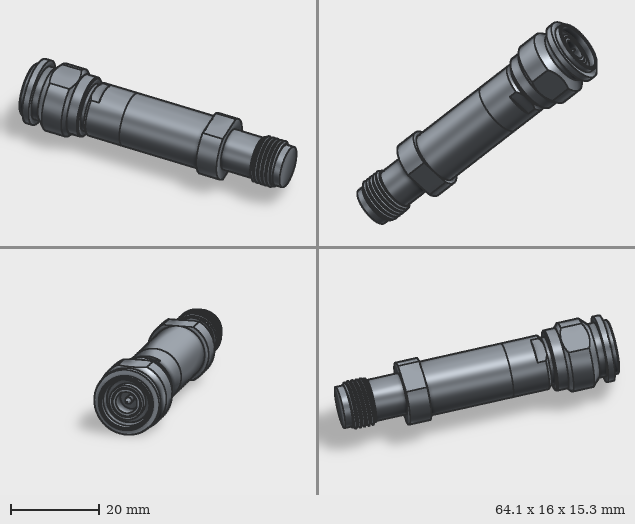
import cadquery as cq
import math


OVERALL_LENGTH = 64.1
OVERALL_WIDTH = 16.0
OVERALL_HEIGHT = 15.3
BARREL_RADIUS = 6.3

FLANGE_RADIUS = OVERALL_HEIGHT / 2
FLANGE_START, FLANGE_END = 1.5, 3.0
RIM_CHAMFER = 0.25
GRIP_RADIUS = OVERALL_WIDTH / 2
GRIP_FLAT_HEIGHT = 7.25
GRIP_START, GRIP_END = 6.4, 11.3
COLLAR_START = 12.2
COLLAR_RADIUS = 7.05
NUT_END = 14.95
MOUTH_RADIUS = 5.65
MOUTH_DEPTH = 1.9
MOUTH_CONE_END = 2.9
NUT_BORE_RADIUS = 5.1

PLUG_RADIUS = 4.05
PLUG_FACE = 1.3
PLUG_SHOULDER = 3.2
NECK_RADIUS = 5.6
NECK_END = 15.85
PLUG_BODY_END = 24.95
PLUG_FLAT_HEIGHT = 5.45
PLUG_FLAT_END = 18.45
HOLLOW_RADIUS = 2.5
HOLLOW_FLOOR = 5.1
FACE_GROOVE_INNER, FACE_GROOVE_OUTER = 3.2, 3.45
FACE_GROOVE_DEPTH = 0.65
PIN_RADIUS = 0.8
PIN_TIP = 1.35
PIN_TIP_RADIUS = 0.2
PIN_TAPER = 1.65

WRENCH_RADIUS = 7.25
WRENCH_START, WRENCH_END = 44.5, 49.5
TAIL_RADIUS = 4.8
THREAD_START, THREAD_END = 56.8, 62.4
THREAD_ROOT_RADIUS = 4.95
THREAD_RADIUS = 5.5
CREST_SPAN = 4.05
CREST_STEPS = 4
THREAD_PITCH = CREST_SPAN / CREST_STEPS
THREAD_TOP_CREST = 59.9
RIDGE_SINK = 0.05
RIDGE_FOOT_RADIUS = THREAD_ROOT_RADIUS - RIDGE_SINK
RIDGE_FOOT_WIDTH = 0.9
RIDGE_CREST_WIDTH = 0.1
TRIM_CLEARANCE = 0.3


def turned(profile):
    """Solid of revolution about X from (x, radius) points."""
    return cq.Workplane("XY").polyline(profile).close().revolve(360, (0, 0, 0), (1, 0, 0))


def tube(start, end, outer_radius, inner_radius=0):
    return turned([(start, inner_radius), (start, outer_radius), (end, outer_radius), (end, inner_radius)])


def cut_flats(body, start, end, height):
    """Mill two opposite flats, at z = +height and z = -height, between two x positions."""
    depth = OVERALL_WIDTH
    for side in (1, -1):
        cutter = (
            cq.Workplane("XY")
            .box(end - start, 2 * OVERALL_WIDTH, depth, centered=(False, True, True))
            .translate((start, 0, side * (height + depth / 2)))
        )
        body = body.cut(cutter)
    return body


def make_nut():
    cone_start = GRIP_START - (GRIP_RADIUS - BARREL_RADIUS)
    grip_end_radius = GRIP_RADIUS - (COLLAR_START - GRIP_END)
    nut = turned([
        (0, MOUTH_RADIUS + RIM_CHAMFER),
        (0, BARREL_RADIUS - RIM_CHAMFER),
        (RIM_CHAMFER, BARREL_RADIUS),
        (FLANGE_START, BARREL_RADIUS),
        (FLANGE_START, FLANGE_RADIUS),
        (FLANGE_END, FLANGE_RADIUS),
        (FLANGE_END, BARREL_RADIUS),
        (cone_start, BARREL_RADIUS),
        (GRIP_START, GRIP_RADIUS),
        (GRIP_END, GRIP_RADIUS),
        (COLLAR_START, grip_end_radius),
        (COLLAR_START, COLLAR_RADIUS),
        (NUT_END - RIM_CHAMFER, COLLAR_RADIUS),
        (NUT_END, COLLAR_RADIUS - RIM_CHAMFER),
        (NUT_END, NUT_BORE_RADIUS),
        (MOUTH_CONE_END, NUT_BORE_RADIUS),
        (MOUTH_DEPTH, MOUTH_RADIUS),
        (RIM_CHAMFER, MOUTH_RADIUS),
    ])
    return cut_flats(nut, cone_start, COLLAR_START, GRIP_FLAT_HEIGHT)


def make_pin():
    """Contact pin with a tapered tip, standing on the floor of the plug's hollow."""
    return turned([
        (PIN_TIP, 0),
        (PIN_TIP, PIN_TIP_RADIUS),
        (PIN_TIP + PIN_TAPER, PIN_RADIUS),
        (HOLLOW_FLOOR, PIN_RADIUS),
        (HOLLOW_FLOOR, 0),
    ])


def make_plug_body():
    shoulder_end = NECK_END + BARREL_RADIUS - NECK_RADIUS
    body = turned([
        (HOLLOW_FLOOR, 0),
        (HOLLOW_FLOOR, HOLLOW_RADIUS),
        (PLUG_FACE, HOLLOW_RADIUS),
        (PLUG_FACE, PLUG_RADIUS),
        (PLUG_SHOULDER, PLUG_RADIUS),
        (PLUG_SHOULDER, NUT_BORE_RADIUS),
        (NUT_END, NUT_BORE_RADIUS),
        (NUT_END, NECK_RADIUS),
        (NECK_END, NECK_RADIUS),
        (shoulder_end, BARREL_RADIUS),
        (PLUG_BODY_END, BARREL_RADIUS),
        (PLUG_BODY_END, 0),
    ])
    face_groove = tube(PLUG_FACE, PLUG_FACE + FACE_GROOVE_DEPTH, FACE_GROOVE_OUTER, FACE_GROOVE_INNER)
    body = body.cut(face_groove)
    body = cut_flats(body, NECK_END, PLUG_FLAT_END, PLUG_FLAT_HEIGHT)
    return body.union(make_pin())


def make_thread():
    """Right-handed helical ridge on a root cylinder, with both ends bevelled at 45 degrees."""
    lead_in_turns = math.ceil((THREAD_TOP_CREST - THREAD_START) / THREAD_PITCH) + 0.5
    ridge_start = THREAD_TOP_CREST - lead_in_turns * THREAD_PITCH
    ridge_length = THREAD_END - ridge_start + THREAD_PITCH / 2
    helix = cq.Wire.makeHelix(THREAD_PITCH, ridge_length, RIDGE_FOOT_RADIUS)
    ridge = (
        cq.Workplane("XZ")
        .polyline([
            (RIDGE_FOOT_RADIUS, -RIDGE_FOOT_WIDTH / 2),
            (THREAD_RADIUS, -RIDGE_CREST_WIDTH / 2),
            (THREAD_RADIUS, RIDGE_CREST_WIDTH / 2),
            (RIDGE_FOOT_RADIUS, RIDGE_FOOT_WIDTH / 2),
        ])
        .close()
        .sweep(cq.Workplane(obj=helix), isFrenet=True)
        .rotate((0, 0, 0), (0, 1, 0), 90)
        .translate((ridge_start, 0, 0))
    )
    bevel = THREAD_RADIUS + TRIM_CLEARANCE - THREAD_ROOT_RADIUS
    envelope = turned([
        (THREAD_START, 0),
        (THREAD_START, THREAD_ROOT_RADIUS),
        (THREAD_START + bevel, THREAD_ROOT_RADIUS + bevel),
        (THREAD_END - bevel, THREAD_ROOT_RADIUS + bevel),
        (THREAD_END, THREAD_ROOT_RADIUS),
        (THREAD_END, 0),
    ])
    root = tube(THREAD_START, THREAD_END, THREAD_ROOT_RADIUS)
    return root.union(ridge.intersect(envelope))


def make_socket_body():
    wrench = cut_flats(
        tube(WRENCH_START, WRENCH_END, WRENCH_RADIUS), WRENCH_START, WRENCH_END, BARREL_RADIUS
    )
    barrel = tube(PLUG_BODY_END, WRENCH_START, BARREL_RADIUS)
    tail = tube(WRENCH_END, OVERALL_LENGTH, TAIL_RADIUS)
    return barrel.union(wrench).union(tail).union(make_thread())


nut = make_nut()
plug_body = make_plug_body()
socket_body = make_socket_body()

result = cq.Compound.makeCompound([
    nut.solids().val(),
    plug_body.solids().val(),
    socket_body.solids().val(),
])